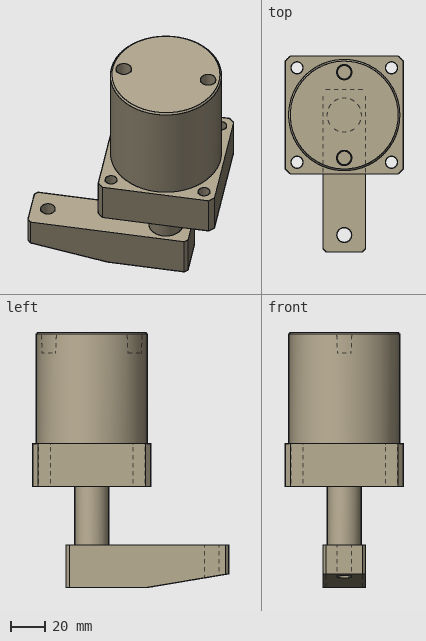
import cadquery as cq


total_height = 149.0

base_side = 69.0
base_height = 25.0
base_corner_chamfer = 3.0
mount_hole_diameter = 6.9
mount_hole_pitch = 55.1

barrel_diameter = 65.0
barrel_height = 65.0
barrel_top_chamfer = 1.0
port_mouth_diameter = 9.0
port_floor_diameter = 7.9
port_depth = 11.9
port_offset = 25.0

rod_diameter = 20.0

arm_width = 25.0
arm_height = 25.0
arm_back = 15.0
arm_length = 95.0
arm_flat_length = 47.2
arm_tip_height = 17.0
arm_corner_chamfer = 2.0
arm_hole_diameter = 8.5
arm_hole_offset = 70.0

barrel_bottom = total_height - barrel_height
base_bottom = barrel_bottom - base_height
rod_length = base_bottom - arm_height


def make_barrel():
    """Round barrel with a chamfered top edge and two blind tapered air ports."""
    barrel = (
        cq.Workplane("XY", origin=(0, 0, barrel_bottom))
        .circle(barrel_diameter / 2)
        .extrude(barrel_height)
        .faces(">Z")
        .chamfer(barrel_top_chamfer)
    )
    for port_y in (-port_offset, port_offset):
        port = (
            cq.Workplane("XY", origin=(0, port_y, total_height))
            .circle(port_mouth_diameter / 2)
            .workplane(offset=-port_depth)
            .circle(port_floor_diameter / 2)
            .loft(ruled=True)
        )
        barrel = barrel.cut(port)
    return barrel


def make_base():
    """Square base with chamfered corners and a through hole near each corner."""
    return (
        cq.Workplane("XY", origin=(0, 0, base_bottom))
        .rect(base_side, base_side)
        .extrude(base_height)
        .edges("|Z")
        .chamfer(base_corner_chamfer)
        .faces(">Z")
        .workplane()
        .rect(mount_hole_pitch, mount_hole_pitch, forConstruction=True)
        .vertices()
        .hole(mount_hole_diameter)
    )


def make_rod():
    """Plain rod from the top of the arm to the underside of the base."""
    return (
        cq.Workplane("XY", origin=(0, 0, arm_height))
        .circle(rod_diameter / 2)
        .extrude(rod_length)
    )


def make_arm():
    """Arm reaching toward -Y, with its underside rising to a thinner, drilled tip."""
    arm_front = arm_back - arm_length
    side_outline = [
        (arm_back, 0),
        (arm_back, arm_height),
        (arm_front, arm_height),
        (arm_front, arm_height - arm_tip_height),
        (arm_back - arm_flat_length, 0),
    ]
    arm = (
        cq.Workplane("YZ")
        .polyline(side_outline)
        .close()
        .extrude(arm_width / 2, both=True)
        .edges("|Z")
        .chamfer(arm_corner_chamfer)
    )
    tip_hole = (
        cq.Workplane("XY")
        .center(0, -arm_hole_offset)
        .circle(arm_hole_diameter / 2)
        .extrude(arm_height)
    )
    return arm.cut(tip_hole)


barrel = make_barrel()
base = make_base()
rod = make_rod()
arm = make_arm()

result = cq.Compound.makeCompound([barrel.val(), base.val(), rod.val(), arm.val()])